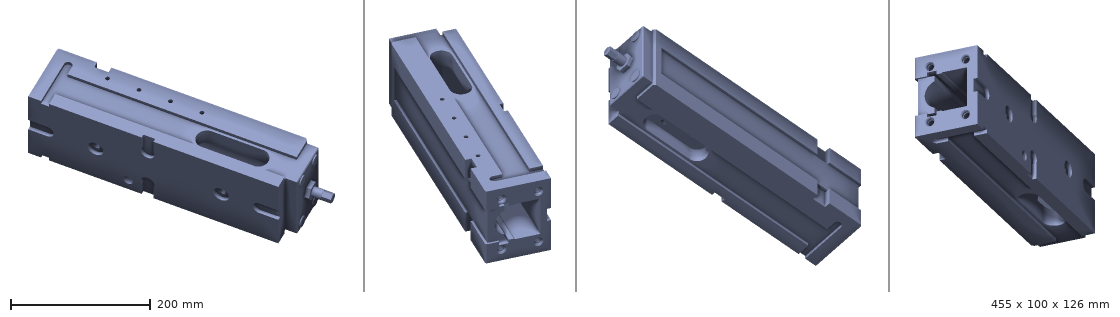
import cadquery as cq
import math

body_length = 397.8
body_depth = 100.0
body_height = 126.0
mid_z = body_height / 2
overall_length = 455.0

slot_depth = 6.0

channel_y0 = 21.0
channel_y1 = 62.0
cross_slot_x0 = 20.5
cross_slot_width = 12.7
cross_slot_end_y = 83.7

window_x0 = 248.0
window_x1 = 362.3
window_width = 33.0
window_y = (channel_y0 + channel_y1) / 2

end_wall = 13.5
cavity_end_x = body_length - end_wall
cavity_floor_y = 16.5
cavity_half_width = 31.0
rail_y = 57.0
rail_bevel = 2.0
slide_half_width = 29.5
groove_half_width = 35.5
groove_y0 = 64.5
groove_y1 = 79.5
slide_y = 69.5
arc_half_chord = 21.0
arc_top_y = 85.0
slide_setback = 3.0
end_slope_rise = 9.5
end_slope_run = 10.0

recess_depth = 4.0
keyway_x0 = 62.5
keyway_width = 22.8
keyway_depth = 9.5
near_edge_chamfer = 2.0
far_edge_chamfer = 3.0

end_slot_width = 21.0
end_slot_length = 40.5
side_slot_x = 190.0
side_slot_width = 18.5
side_slot_length = 40.5
side_slot_end_diameter = 22.0

bolt_x = 107.0
bolt_pitch = 200.0
bolt_count = 2
bolt_mouth_diameter = 25.0
bolt_head_diameter = 24.0
bolt_head_depth = 6.0
bolt_diameter = 8.5
pin_x = 159.0
pin_z = 19.5
pin_diameter = 15.0
pin_depth = 7.0
gib_x = 88.7
gib_pitch = 50.0
gib_count = 4
gib_y = 79.0
gib_diameter = 7.0
gib_depth = 13.5
end_hole_ys = (19.0, 75.5)
end_hole_offset_z = 44.0
end_hole_mouth = 15.0
end_hole_thread = 12.0
end_hole_core = 10.0
end_hole_thread_depth = 5.5
end_hole_depth = 22.8
drill_tip_angle = 118

cover_y0 = 23.5
cover_y1 = body_depth - recess_depth
cover_end_x = 417.0
cover_chamfer = 1.5
screw_head_diameter = 18.0
screw_head_height = 2.0
screw_inset_y = 14.5
screw_inset_z = 12.5
spindle_y = 62.0
nut_flats = 26.5
nut_end_x = 424.0
nut_turn = 0
spindle_diameter = 16.0
spindle_end_x = 440.0
drive_turn = 90


def block(x0, x1, y0, y1, z0, z1):
    """Box between two corners."""
    return cq.Workplane("XY").box(x1 - x0, y1 - y0, z1 - z0, centered=False).translate((x0, y0, z0))


def rod(start, direction, diameter, length):
    """Cylinder from a start point along a direction."""
    return cq.Workplane(cq.Solid.makeCylinder(diameter / 2, length, cq.Vector(*start), cq.Vector(*direction)))


def drilled_hole(start, direction, diameter, depth):
    """Blind hole with a conical drill tip."""
    axis = cq.Vector(*direction)
    tip_start = cq.Vector(*start) + axis * depth
    tip_height = diameter / 2 / math.tan(math.radians(drill_tip_angle / 2))
    tip = cq.Solid.makeCone(diameter / 2, 0, tip_height, tip_start, axis)
    return rod(start, direction, diameter, depth).union(cq.Workplane(tip))


def hexagon(x0, x1, flats, turn):
    """Hexagonal bar on the spindle axis, turned about X."""
    corners = flats / math.cos(math.pi / 6)
    bar = cq.Workplane("YZ").polygon(6, corners).extrude(x1 - x0)
    return bar.rotate((0, 0, 0), (1, 0, 0), turn).translate((x0, spindle_y, mid_z))


def body_block():
    """Plain block with both ends of the +Y face chamfered."""
    body = block(0, body_length, 0, body_depth, 0, body_height)
    body = body.faces("<X").edges(">Y").chamfer(near_edge_chamfer)
    return body.faces(">X").edges(">Y").chamfer(far_edge_chamfer)


def t_channel(z0):
    """Cross slot with a rounded end, joined to the long channel that runs out at +X."""
    cross_radius = cross_slot_width / 2
    cross_x1 = cross_slot_x0 + cross_slot_width
    round_y = cross_slot_end_y - cross_radius
    cross_x = cross_slot_x0 + cross_radius
    cross = block(cross_slot_x0, cross_x1, 0, round_y, z0, z0 + slot_depth)
    round_end = rod((cross_x, round_y, z0), (0, 0, 1), cross_slot_width, slot_depth)
    channel = block(cross_x, body_length, channel_y0, channel_y1, z0, z0 + slot_depth)
    return cross.union(round_end).union(channel)


def window():
    """Round-ended opening through the body along Z."""
    length = window_x1 - window_x0
    centre_x = (window_x0 + window_x1) / 2
    return cq.Workplane("XY").center(centre_x, window_y).slot2D(length, window_width).extrude(body_height)


def cavity():
    """Stepped bore with side grooves and an arched roof; its floor slopes up to the end wall."""
    half_profile = [
        (cavity_floor_y, cavity_half_width),
        (rail_y - rail_bevel, cavity_half_width),
        (rail_y, slide_half_width),
        (groove_y0, slide_half_width),
        (groove_y0, groove_half_width),
        (groove_y1, groove_half_width),
        (groove_y1, slide_half_width),
        (slide_y, slide_half_width),
        (slide_y, arc_half_chord),
    ]
    mirrored = [(y, -z) for y, z in reversed(half_profile)]
    bore = (
        cq.Workplane("YZ", origin=(0, 0, mid_z))
        .polyline(half_profile)
        .threePointArc((arc_top_y, 0), mirrored[0])
        .polyline(mirrored[1:], includeCurrent=True)
        .close()
        .extrude(cavity_end_x)
    )
    slope = (
        cq.Workplane("XY", origin=(0, 0, mid_z))
        .moveTo(cavity_end_x, cavity_floor_y)
        .lineTo(cavity_end_x - end_slope_run, cavity_floor_y)
        .lineTo(cavity_end_x, cavity_floor_y + end_slope_rise)
        .close()
        .extrude(cavity_half_width, both=True)
    )
    return bore.cut(slope)


def back_cuts():
    """Long recess and cross keyway in the +Y face, and the set-back nose of the slide."""
    z0 = mid_z - slide_half_width
    z1 = mid_z + slide_half_width
    recess = block(0, cavity_end_x, body_depth - recess_depth, body_depth, z0, z1)
    nose = block(0, slide_setback, slide_y, body_depth, z0, z1)
    keyway_x1 = keyway_x0 + keyway_width
    keyway_y = body_depth - keyway_depth
    lower_key = block(keyway_x0, keyway_x1, keyway_y, body_depth, 0, z0)
    upper_key = block(keyway_x0, keyway_x1, keyway_y, body_depth, z1, body_height)
    return recess.union(nose).union(lower_key).union(upper_key)


def end_slot(x_face, inward):
    """Round-ended slot in the -Y face, running in from an end face."""
    round_x = x_face + inward * (end_slot_length - end_slot_width / 2)
    z0 = mid_z - end_slot_width / 2
    straight = block(min(x_face, round_x), max(x_face, round_x), 0, slot_depth, z0, z0 + end_slot_width)
    return straight.union(rod((round_x, 0, mid_z), (0, 1, 0), end_slot_width, slot_depth))


def side_slot(z_face, inward):
    """Slot in the -Y face with an enlarged round end, running in from a top or bottom face."""
    round_z = z_face + inward * (side_slot_length - side_slot_end_diameter / 2)
    x0 = side_slot_x - side_slot_width / 2
    straight = block(x0, x0 + side_slot_width, 0, slot_depth, min(z_face, round_z), max(z_face, round_z))
    return straight.union(rod((side_slot_x, 0, round_z), (0, 1, 0), side_slot_end_diameter, slot_depth))


def countersink(start, direction, mouth, hole):
    """45-degree cone that narrows from the mouth diameter to the hole diameter."""
    depth = (mouth - hole) / 2
    cone = cq.Solid.makeCone(mouth / 2, hole / 2, depth, cq.Vector(*start), cq.Vector(*direction))
    return cq.Workplane(cone)


def bolt_hole(x):
    """Counterbored hole with a chamfered mouth, from the -Y face into the cavity."""
    start = (x, 0, mid_z)
    inward = (0, 1, 0)
    mouth = countersink(start, inward, bolt_mouth_diameter, bolt_head_diameter)
    head = rod(start, inward, bolt_head_diameter, bolt_head_depth)
    return mouth.union(head).union(rod(start, inward, bolt_diameter, cavity_floor_y))


def end_hole(y, z):
    """Chamfered blind hole in the -X face: a threaded length over a deeper core drilling."""
    start = (0, y, z)
    inward = (1, 0, 0)
    mouth = countersink(start, inward, end_hole_mouth, end_hole_thread)
    thread = rod(start, inward, end_hole_thread, end_hole_thread_depth)
    return mouth.union(thread).union(drilled_hole(start, inward, end_hole_core, end_hole_depth))


def end_cover():
    """Chamfered end plate with four low screw heads."""
    z0 = slot_depth
    z1 = body_height - slot_depth
    cover = block(body_length, cover_end_x, cover_y0, cover_y1, z0, z1)
    cover = cover.faces(">X").edges().chamfer(cover_chamfer)
    for y in (cover_y0 + screw_inset_y, cover_y1 - screw_inset_y):
        for z in (z0 + screw_inset_z, z1 - screw_inset_z):
            head = rod((cover_end_x, y, z), (1, 0, 0), screw_head_diameter, screw_head_height)
            cover = cover.union(head)
    return cover


def spindle():
    """Nut, round shank and hexagonal drive end."""
    drive_flats = spindle_diameter * math.cos(math.pi / 6)
    nut = hexagon(cover_end_x, nut_end_x, nut_flats, nut_turn)
    shank = rod((nut_end_x, spindle_y, mid_z), (1, 0, 0), spindle_diameter, spindle_end_x - nut_end_x)
    drive = hexagon(spindle_end_x, overall_length, drive_flats, drive_turn)
    return nut.union(shank).union(drive)


body = body_block().cut(cavity()).cut(back_cuts()).cut(window())
for channel_z in (0, body_height - slot_depth):
    body = body.cut(t_channel(channel_z))

body = body.cut(end_slot(0, 1)).cut(end_slot(body_length, -1))
body = body.cut(side_slot(0, 1)).cut(side_slot(body_height, -1))

for bolt in range(bolt_count):
    body = body.cut(bolt_hole(bolt_x + bolt * bolt_pitch))
body = body.cut(drilled_hole((pin_x, 0, pin_z), (0, 1, 0), pin_diameter, pin_depth))
for gib in range(gib_count):
    gib_start = (gib_x + gib * gib_pitch, gib_y, body_height)
    body = body.cut(drilled_hole(gib_start, (0, 0, -1), gib_diameter, gib_depth))
for hole_y in end_hole_ys:
    for side in (-1, 1):
        body = body.cut(end_hole(hole_y, mid_z + side * end_hole_offset_z))

result = body.union(end_cover()).union(spindle())